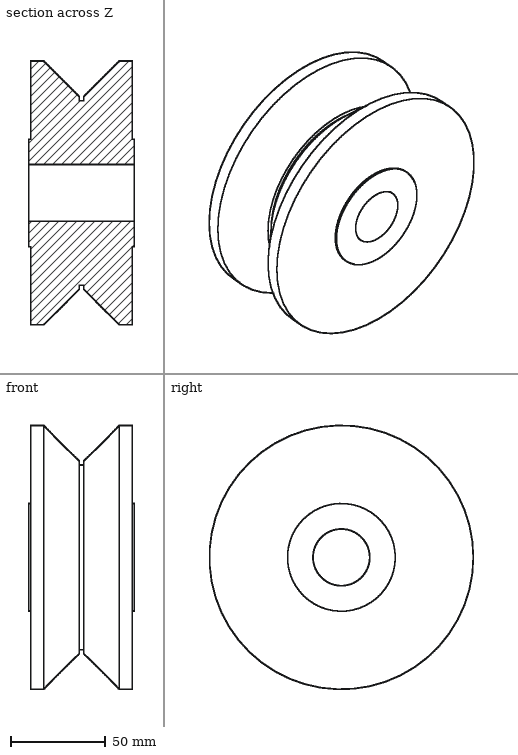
import cadquery as cq

wheel_diameter = 140.0
wheel_width = 54.0
hub_diameter = 57.1
hub_width = 56.0
bore_diameter = 30.0
rim_width = 7.0
relief_width = 2.4
relief_diameter = 98.0

wheel_half = wheel_width / 2
hub_half = hub_width / 2
relief_half = relief_width / 2
groove_half = wheel_half - rim_width
wheel_radius = wheel_diameter / 2
hub_radius = hub_diameter / 2
bore_radius = bore_diameter / 2
relief_radius = relief_diameter / 2
flank_foot_radius = wheel_radius - (groove_half - relief_half)

right_side = [
    (relief_half, relief_radius),
    (relief_half, flank_foot_radius),
    (groove_half, wheel_radius),
    (wheel_half, wheel_radius),
    (wheel_half, hub_radius),
    (hub_half, hub_radius),
    (hub_half, bore_radius),
]
left_side = [(-x, radius) for x, radius in reversed(right_side)]

result = (
    cq.Workplane("XY")
    .polyline(right_side + left_side)
    .close()
    .revolve(360, (0, 0, 0), (1, 0, 0))
)